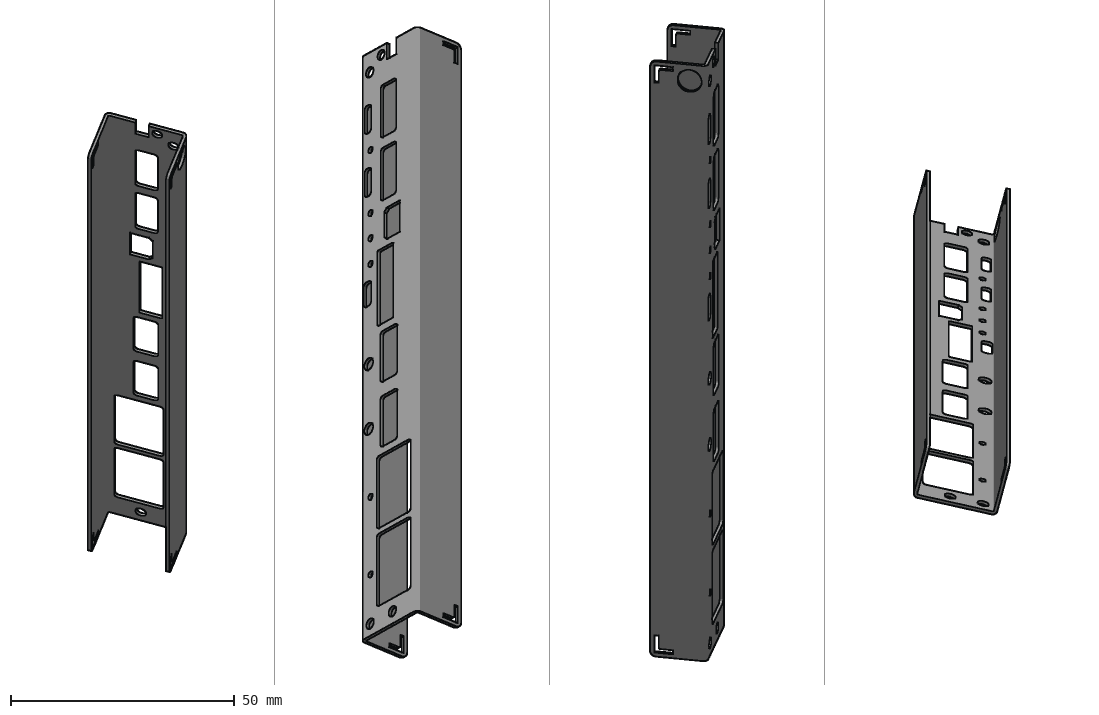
import cadquery as cq

LENGTH = 148.8
WIDTH = 19.2
DEPTH = 13.1
SHEET = 0.8
BEND_INNER_RADIUS = 0.3
BEND_OUTER_RADIUS = SHEET + BEND_INNER_RADIUS
FLANGE_CORNER_RADIUS = 1.5

SLOT_WIDTH = 1.0
SLOT_EDGE_GAP = 1.0
SLOT_REACH = 5.28
SLOT_BEND_RADIUS = 0.5

CABLE_HOLE_DIAMETER = 5.5
CABLE_HOLE_INSET = 4.0

NOTCH_X = -0.9
NOTCH_WIDTH = 3.1
NOTCH_DEPTH = 4.2

TWIN_PORT_HEIGHTS = (115.9, 132.0)
TALL_PORT_HEIGHT = 87.5
JACK_PORT_HEIGHTS = (53.0, 69.5)
SOCKET_HEIGHTS = (15.6, 35.4)
SHORT_PORT_HEIGHT = 102.8

TWIN_WINDOW = (0.1, 5.4, 13.4)
TALL_WINDOW = (1.2, 5.4, 19.2)
JACK_WINDOW = (0.0, 5.8, 13.0)
SOCKET_WINDOW = (-1.6, 11.6, 18.5)
TWIN_SIDE_WINDOW = (7.1, 2.2, 7.1)
TALL_SIDE_WINDOW = (7.3, 2.5, 6.2)
WINDOW_RADIUS = 0.9
TALL_WINDOW_RADIUS = 0.3
SHORT_WINDOW_X = -1.0
SHORT_WINDOW_WIDTH = 5.4
SHORT_WINDOW_HEIGHT = 8.0
SHORT_WINDOW_CHAMFER = 0.9

LAMP_HOLE_DIAMETER = 1.5
LAMP_HOLE_X = 6.2
LAMP_DROP_BELOW_TWIN_PORT = 8.2
LAMP_PAIR_HEIGHTS = (94.8, 101.3)
JACK_HOLE_DIAMETER = 3.0
JACK_HOLE_X = 6.8
SCREW_HOLE_DIAMETER = 2.5
SCREW_HOLES = ((-1.2, 3.1), (6.4, 3.1), (6.5, 143.7))
TOP_HOLE_DIAMETER = 2.4
TOP_HOLE = (2.7, 146.5)


def channel():
    """Bent channel with rounded free corners on the flanges."""
    outer = (
        cq.Workplane("XY")
        .box(WIDTH, DEPTH, LENGTH, centered=(True, False, False))
        .translate((0, -DEPTH, 0))
        .edges("|Z and >Y")
        .fillet(BEND_OUTER_RADIUS)
    )
    inner = (
        cq.Workplane("XY")
        .box(WIDTH - 2 * SHEET, DEPTH, LENGTH, centered=(True, False, False))
        .translate((0, -DEPTH - SHEET, 0))
        .edges("|Z and >Y")
        .fillet(BEND_INNER_RADIUS)
    )
    return outer.cut(inner).edges("|X and <Y").fillet(FLANGE_CORNER_RADIUS)


def web_block(x, z, width, height):
    """Rectangular cutter through the web, centred at (x, z)."""
    return cq.Workplane("XY").box(width, 2 * DEPTH, height).translate((x, 0, z))


def window(shape, z, radius=WINDOW_RADIUS):
    """Cutter for a rounded window centred at height z."""
    x, width, height = shape
    return web_block(x, z, width, height).edges("|Y").fillet(radius)


def short_window():
    """Cutter for the short window, whose two +X corners are chamfered."""
    block = web_block(SHORT_WINDOW_X, SHORT_PORT_HEIGHT, SHORT_WINDOW_WIDTH, SHORT_WINDOW_HEIGHT)
    return block.edges("|Y and >X").chamfer(SHORT_WINDOW_CHAMFER)


def web_holes(points, diameter):
    """Cutter for round holes through the web at (x, z) points."""
    return cq.Workplane("XZ").pushPoints(points).circle(diameter / 2).extrude(DEPTH, both=True)


def corner_slot():
    """Cutter through both flanges for the L-shaped slot at the bottom front corner."""
    near = SLOT_EDGE_GAP
    far = SLOT_EDGE_GAP + SLOT_WIDTH
    outline = [
        (near, near),
        (SLOT_REACH, near),
        (SLOT_REACH, far),
        (far, far),
        (far, SLOT_REACH),
        (near, SLOT_REACH),
    ]
    points = [(y - DEPTH, z) for y, z in outline]
    slot = cq.Workplane("YZ").polyline(points).close().extrude(WIDTH, both=True)
    inside_corner = cq.selectors.NearestToPointSelector((0, far - DEPTH, far))
    return slot.edges(inside_corner).fillet(SLOT_BEND_RADIUS)


def cable_hole():
    """Cutter for the hole in the +X flange near the top of the web."""
    return (
        cq.Workplane("YZ")
        .center(-CABLE_HOLE_INSET, LENGTH - CABLE_HOLE_INSET)
        .circle(CABLE_HOLE_DIAMETER / 2)
        .extrude(WIDTH)
    )


result = channel()

for z in TWIN_PORT_HEIGHTS:
    result = result.cut(window(TWIN_WINDOW, z))
    result = result.cut(window(TWIN_SIDE_WINDOW, z))
result = result.cut(window(TALL_WINDOW, TALL_PORT_HEIGHT, TALL_WINDOW_RADIUS))
result = result.cut(window(TALL_SIDE_WINDOW, TALL_PORT_HEIGHT))
for z in JACK_PORT_HEIGHTS:
    result = result.cut(window(JACK_WINDOW, z))
for z in SOCKET_HEIGHTS:
    result = result.cut(window(SOCKET_WINDOW, z))
result = result.cut(short_window())

twin_lamp_heights = [z - LAMP_DROP_BELOW_TWIN_PORT for z in TWIN_PORT_HEIGHTS]
lamp_heights = [*SOCKET_HEIGHTS, *LAMP_PAIR_HEIGHTS, *twin_lamp_heights]
result = result.cut(web_holes([(LAMP_HOLE_X, z) for z in lamp_heights], LAMP_HOLE_DIAMETER))
result = result.cut(web_holes([(JACK_HOLE_X, z) for z in JACK_PORT_HEIGHTS], JACK_HOLE_DIAMETER))
result = result.cut(web_holes(SCREW_HOLES, SCREW_HOLE_DIAMETER))
result = result.cut(web_holes([TOP_HOLE], TOP_HOLE_DIAMETER))

result = result.cut(web_block(NOTCH_X, LENGTH, NOTCH_WIDTH, 2 * NOTCH_DEPTH))

bottom_slot = corner_slot()
top_slot = bottom_slot.mirror("XY", (0, 0, LENGTH / 2))
result = result.cut(bottom_slot).cut(top_slot).cut(cable_hole())